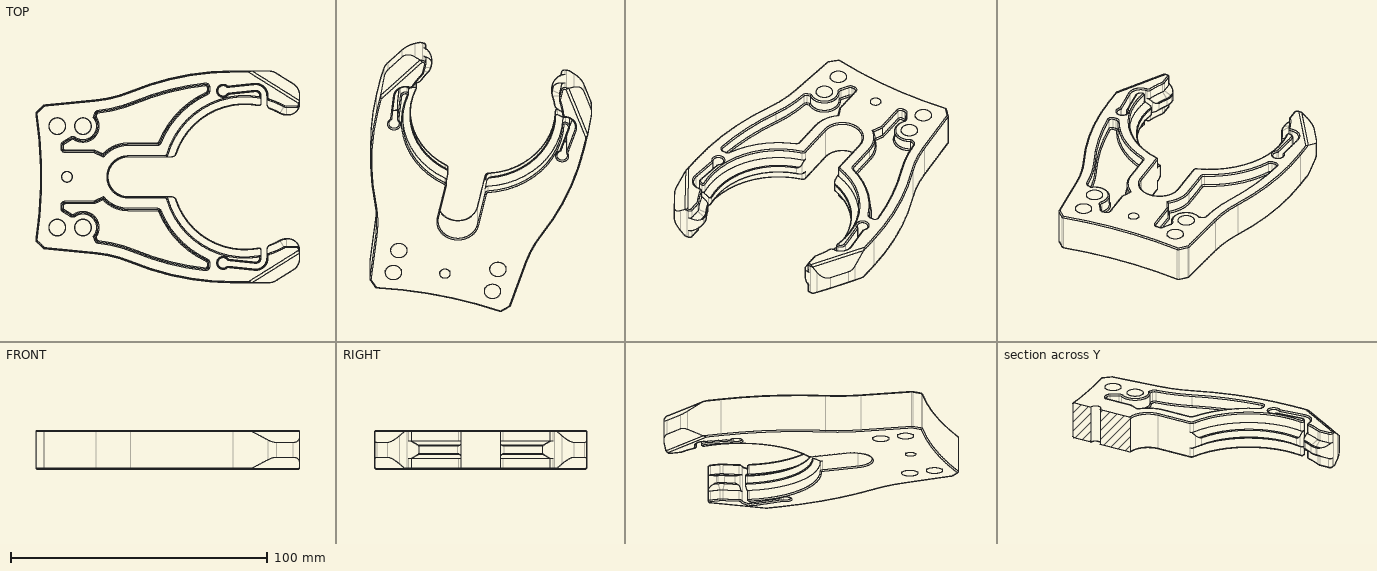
import cadquery as cq
import math

LENGTH = 103.12
HALF_WIDTH = 41.41
THICKNESS = 15.3
EDGE_CHAMFER = 0.5
HALF_THICKNESS = THICKNESS / 2

REAR_HALF_WIDTH = 25.0
REAR_CORNER_X = -0.05
REAR_MIDDLE_X = 1.85
CORNER_CUT_X = 3.2
CORNER_CUT_Y = 3.1
REAR_CORNER_RADIUS = 0.8

FLANK_SLOPE = 5.4
HOLLOW_RADIUS = 46.6
BULGE_RADIUS = 105.0
BULGE_SLOPE = 22.5
WIDEST_X = 77.1

TIP_SLOPE = 32.0
TIP_SHOULDER_X = 90.8
TIP_SHOULDER_RADIUS = 6.0
TIP_FRONT_RADIUS = 5.4
FINGER_END_RADIUS = 10.4 / 2
FRONT_CORNER_RADIUS = 4.7

JAW_X = 81.7
JAW_RADIUS = 28.3
LIP_DEPTH = 3.0
LIP_HEIGHT = 1.7
RECESS_HEIGHT = 3.4
LIP_EDGE_CHAMFER = 0.25
ARM_END_CORNER_RADIUS = 0.8
SLOT_RECESS_CORNER_RADIUS = 1.2
FINGER_LIP_CORNER_RADIUS = 2.3
FINGER_RECESS_CORNER_RADIUS = 1.2

SLOT_RADIUS = 7.75
SLOT_X = 36.0
SLOT_CORNER_RADIUS = 2.0

KEYHOLE_DIAMETER = 4.1
KEYHOLE_X = 73.2
KEYHOLE_Y = 33.6
SLIT_BEND_X = 85.9
SLIT_BEND_Y = 31.7
SLIT_INNER_RADIUS = 2.1
SLIT_OUTER_RADIUS = 4.34
SLIT_SLOPE = 6.0
KEYHOLE_BLEND_RADIUS = 0.8

BEVEL_ANGLE = 45.0
BEVEL_EDGE_HEIGHT = 2.9
BEVEL_FACET = 0.65

CENTRE_HOLE_DIAMETER = 4.1
CENTRE_HOLE_X = 12.2
BOLT_HOLE_DIAMETER = 6.4
BOLT_HOLE_X = (8.4, 18.45)
BOLT_HOLE_Y = 19.8

POCKET_DEPTH = 5.0
POCKET_CHAMFER = 0.5
POCKET_CORNER_RADIUS = 1.2
FLANK_WALL = 4.7
JAW_WALL = 4.5
SLOT_WALL = 5.0
BOSS_RADIUS = 5.8
BOSS_START = 228
BOSS_END = 398
NOTCH_ANGLE = 139
POCKET_STEP_X = 22.7
POCKET_REAR_X = 10.3
POCKET_REAR_LOW_Y = 10.0
POCKET_REAR_HIGH_Y = 12.9
POCKET_HEEL_X = 23.7
POCKET_TOE_X = 67.5


def polar(centre, radius, angle):
    """Point at an angle (degrees from +X) on a circle."""
    turn = math.radians(angle)
    return (centre[0] + radius * math.cos(turn), centre[1] + radius * math.sin(turn))


def direction_to(start, end):
    """Angle in degrees from one point to another."""
    return math.degrees(math.atan2(end[1] - start[1], end[0] - start[0]))


def arc(path, centre, radius, start, end):
    """Add an arc between two angles; the path must already be at the start of it."""
    return path.threePointArc(polar(centre, radius, (start + end) / 2), polar(centre, radius, end))


def mirrored(shape):
    """The shape joined with its mirror image across the XZ plane."""
    return shape.union(shape.mirror("XZ"))


def round_edges(shape, places, radius):
    """Fillet the upright edge nearest to each place in plan."""
    for place in places:
        nearest = cq.selectors.NearestToPointSelector((*place, 0))
        shape = shape.edges("|Z").edges(nearest).fillet(radius)
    return shape


JAW = (JAW_X, 0)
BULGE = (WIDEST_X, HALF_WIDTH - BULGE_RADIUS)
HOLLOW = polar(BULGE, BULGE_RADIUS + HOLLOW_RADIUS, 90 + BULGE_SLOPE)
ARM_END_X = SLIT_BEND_X + SLIT_INNER_RADIUS
FINGER_WALL_X = SLIT_BEND_X + SLIT_OUTER_RADIUS
FINGER_END_X = LENGTH - FINGER_END_RADIUS
FINGER_END_Y = math.sqrt((JAW_RADIUS + FINGER_END_RADIUS) ** 2 - (FINGER_END_X - JAW_X) ** 2)
FINGER_END = (FINGER_END_X, FINGER_END_Y)
FINGER_END_ANGLE = direction_to(FINGER_END, JAW)
SHOULDER = (TIP_SHOULDER_X, HALF_WIDTH - TIP_SHOULDER_RADIUS)
TIP_LINE_START = polar(SHOULDER, TIP_SHOULDER_RADIUS, 90 - TIP_SLOPE)
TIP_FRONT_X = LENGTH - TIP_FRONT_RADIUS
TIP_LINE_END_X = TIP_FRONT_X + TIP_FRONT_RADIUS * math.sin(math.radians(TIP_SLOPE))
TIP_LINE_DROP = (TIP_LINE_END_X - TIP_LINE_START[0]) * math.tan(math.radians(TIP_SLOPE))
TIP_LINE_END = (TIP_LINE_END_X, TIP_LINE_START[1] - TIP_LINE_DROP)
TIP_FRONT = polar(TIP_LINE_END, -TIP_FRONT_RADIUS, 90 - TIP_SLOPE)


def make_half_plate():
    """Outline of the plate on the +Y side, with the finger and the jaw at lip size."""
    rear_corner = (REAR_CORNER_X, REAR_HALF_WIDTH)
    flank_corner = (CORNER_CUT_X, REAR_HALF_WIDTH + CORNER_CUT_Y)
    rear_hollow = REAR_MIDDLE_X - REAR_CORNER_X
    front_corner_y = FINGER_END_Y - FINGER_END_RADIUS + FRONT_CORNER_RADIUS
    front_corner = (LENGTH - FRONT_CORNER_RADIUS, front_corner_y)
    slot_corner_y = SLOT_RADIUS + SLOT_CORNER_RADIUS
    slot_corner_reach = JAW_RADIUS + SLOT_CORNER_RADIUS
    slot_corner = (JAW_X - math.sqrt(slot_corner_reach**2 - slot_corner_y**2), slot_corner_y)
    slot_corner_angle = direction_to(slot_corner, JAW)
    jaw_start = direction_to(JAW, FINGER_END)
    jaw_end = direction_to(JAW, slot_corner)
    rear_radius = (REAR_HALF_WIDTH**2 + rear_hollow**2) / (2 * rear_hollow)
    rear_centre = (REAR_MIDDLE_X - rear_radius, 0)
    rear_angle = direction_to(rear_centre, rear_corner)

    path = cq.Workplane("XY").workplane(offset=-HALF_THICKNESS).moveTo(REAR_MIDDLE_X, 0)
    path = arc(path, rear_centre, rear_radius, 0, rear_angle).lineTo(*flank_corner)
    path = path.lineTo(*polar(HOLLOW, HOLLOW_RADIUS, FLANK_SLOPE - 90))
    path = arc(path, HOLLOW, HOLLOW_RADIUS, FLANK_SLOPE - 90, BULGE_SLOPE - 90)
    path = arc(path, BULGE, BULGE_RADIUS, 90 + BULGE_SLOPE, 90).lineTo(TIP_SHOULDER_X, HALF_WIDTH)
    path = arc(path, SHOULDER, TIP_SHOULDER_RADIUS, 90, 90 - TIP_SLOPE).lineTo(*TIP_LINE_END)
    path = arc(path, TIP_FRONT, TIP_FRONT_RADIUS, 90 - TIP_SLOPE, 0).lineTo(LENGTH, front_corner[1])
    path = arc(path, front_corner, FRONT_CORNER_RADIUS, 0, -90)
    path = path.lineTo(FINGER_END_X, FINGER_END_Y - FINGER_END_RADIUS)
    path = arc(path, FINGER_END, FINGER_END_RADIUS, -90, FINGER_END_ANGLE)
    path = arc(path, JAW, JAW_RADIUS, jaw_start, jaw_end)
    path = arc(path, slot_corner, SLOT_CORNER_RADIUS, slot_corner_angle, -90)
    path = path.lineTo(SLOT_X, SLOT_RADIUS)
    path = arc(path, (SLOT_X, 0), SLOT_RADIUS, 90, 180)
    plate = path.close().extrude(THICKNESS)
    return round_edges(plate, [rear_corner, flank_corner], REAR_CORNER_RADIUS)


def make_slit():
    """Keyhole and the bent slit that leads from it into the jaw."""
    bend = (SLIT_BEND_X, SLIT_BEND_Y)
    lean = 90 + SLIT_SLOPE
    inner = polar(bend, SLIT_INNER_RADIUS, lean)
    outer = polar(bend, SLIT_OUTER_RADIUS, lean)
    run = (inner[0] - KEYHOLE_X) / math.cos(math.radians(SLIT_SLOPE))
    path = cq.Workplane("XY").workplane(offset=-HALF_THICKNESS)
    path = path.moveTo(*polar(outer, -run, SLIT_SLOPE)).lineTo(*outer)
    path = arc(path, bend, SLIT_OUTER_RADIUS, lean, 0)
    path = path.lineTo(FINGER_WALL_X, 0).lineTo(ARM_END_X, 0).lineTo(ARM_END_X, SLIT_BEND_Y)
    path = arc(path, bend, SLIT_INNER_RADIUS, 0, lean).lineTo(*polar(inner, -run, SLIT_SLOPE))
    keyhole = cq.Workplane("XY").workplane(offset=-HALF_THICKNESS)
    keyhole = keyhole.center(KEYHOLE_X, KEYHOLE_Y).circle(KEYHOLE_DIAMETER / 2).extrude(THICKNESS)
    slit = path.close().extrude(THICKNESS).union(keyhole)
    mouth_x = KEYHOLE_X + KEYHOLE_DIAMETER / 2
    return round_edges(slit, [(mouth_x, inner[1]), (mouth_x, outer[1])], KEYHOLE_BLEND_RADIUS)


def jaw_wire(grow, height):
    """Half of the jaw opening at one height, widened from the lip by `grow`."""
    radius = JAW_RADIUS + grow
    blend = FINGER_END_RADIUS - grow
    front = LENGTH + LIP_DEPTH
    path = cq.Workplane("XY").workplane(offset=height).moveTo(JAW_X - radius, 0)
    path = arc(path, JAW, radius, 180, direction_to(JAW, FINGER_END))
    path = arc(path, FINGER_END, blend, FINGER_END_ANGLE + 360, 270)
    path = path.lineTo(front, FINGER_END_Y - blend).lineTo(front, 0).close()
    return path.val()


def make_ledge_space():
    """Space above the lip: past its chamfered edge, then along the sloped ledge out to the recess."""
    slope = (RECESS_HEIGHT - LIP_HEIGHT) / LIP_DEPTH
    levels = [
        jaw_wire(0, LIP_HEIGHT - LIP_EDGE_CHAMFER),
        jaw_wire(LIP_EDGE_CHAMFER, LIP_HEIGHT + slope * LIP_EDGE_CHAMFER),
        jaw_wire(LIP_DEPTH, RECESS_HEIGHT),
    ]
    return cq.Workplane(cq.Solid.makeLoft(levels, True))


def jaw_corner(radius, x):
    """Place in plan where the jaw circle of some radius crosses an upright wall at x."""
    return (x, math.sqrt(radius**2 - (x - JAW_X) ** 2))


def make_lip(blank):
    """Mid-height layer of the plate, reaching into the jaw with a ledge above and below."""
    lip = round_edges(blank, [jaw_corner(JAW_RADIUS, ARM_END_X)], ARM_END_CORNER_RADIUS)
    lip = round_edges(lip, [jaw_corner(JAW_RADIUS, FINGER_WALL_X)], FINGER_LIP_CORNER_RADIUS)
    layer = cq.Workplane("XY").box(LENGTH + JAW_X, 2 * LENGTH, 2 * RECESS_HEIGHT)
    lip = lip.intersect(layer.translate((LENGTH / 2, 0, 0)))
    ledge_space = make_ledge_space()
    return lip.cut(ledge_space).cut(ledge_space.mirror("XY"))


def make_half_body():
    """Half of the plate with its slit, the recessed jaw and the lip inside it."""
    blank = make_half_plate().cut(make_slit())
    recess = cq.Workplane(jaw_wire(LIP_DEPTH, -HALF_THICKNESS)).toPending().extrude(THICKNESS)
    recess_radius = JAW_RADIUS + LIP_DEPTH
    slot_corner = (JAW_X - math.sqrt(recess_radius**2 - SLOT_RADIUS**2), SLOT_RADIUS)
    arm_corner = jaw_corner(recess_radius, ARM_END_X)
    finger_corner = jaw_corner(recess_radius, FINGER_WALL_X)
    front_corner = (LENGTH, FINGER_END_Y - FINGER_END_RADIUS + LIP_DEPTH)
    recessed = blank.cut(recess)
    recessed = round_edges(recessed, [slot_corner], SLOT_RECESS_CORNER_RADIUS)
    recessed = round_edges(recessed, [arm_corner], ARM_END_CORNER_RADIUS)
    recessed = round_edges(recessed, [finger_corner, front_corner], FINGER_RECESS_CORNER_RADIUS)
    return recessed.union(make_lip(blank))


def make_bevel():
    """Wedge that bevels the lower face of the finger, with a flatter facet along its inner edge."""
    rise = HALF_THICKNESS - BEVEL_EDGE_HEIGHT
    run = rise / math.tan(math.radians(BEVEL_ANGLE))
    facet_inset = BEVEL_FACET * math.cos(math.radians(BEVEL_ANGLE))
    facet_drop = BEVEL_FACET * math.sin(math.radians(BEVEL_ANGLE))
    across = polar((0, 0), 1, 90 - TIP_SLOPE)
    along = polar((0, 0), 1, -TIP_SLOPE)
    plane = cq.Plane(origin=(*TIP_LINE_START, 0), xDir=(*across, 0), normal=(*along, 0))
    profile = [
        (-run - BEVEL_FACET, -HALF_THICKNESS),
        (-run + facet_inset, -HALF_THICKNESS + facet_drop),
        (0, -BEVEL_EDGE_HEIGHT),
        (rise, -BEVEL_EDGE_HEIGHT),
        (rise, -THICKNESS),
        (-run - BEVEL_FACET, -THICKNESS),
    ]
    return cq.Workplane(plane).polyline(profile).close().extrude(LENGTH, both=True)


def make_pocket():
    """Blind pocket between the walls of the flank, the jaw, the slot and the bolt boss."""
    boss = (BOLT_HOLE_X[1], BOLT_HOLE_Y)
    bulge_radius = BULGE_RADIUS - FLANK_WALL
    hollow_radius = HOLLOW_RADIUS + FLANK_WALL
    jaw_radius = JAW_RADIUS + LIP_DEPTH + JAW_WALL
    slot_radius = SLOT_RADIUS + SLOT_WALL
    heel_angle = -math.degrees(math.acos((POCKET_HEEL_X - HOLLOW[0]) / hollow_radius))
    toe_angle = math.degrees(math.acos((POCKET_TOE_X - WIDEST_X) / bulge_radius))
    jaw_high_angle = math.degrees(math.acos((POCKET_TOE_X - JAW_X) / jaw_radius))
    jaw_low_angle = 180 - math.degrees(math.asin(slot_radius / jaw_radius))

    path = cq.Workplane("XY").workplane(offset=HALF_THICKNESS - POCKET_DEPTH)
    path = path.moveTo(*polar(JAW, jaw_radius, jaw_low_angle)).lineTo(SLOT_X, slot_radius)
    path = arc(path, (SLOT_X, 0), slot_radius, 90, NOTCH_ANGLE)
    path = path.lineTo(POCKET_STEP_X, POCKET_REAR_LOW_Y).lineTo(POCKET_REAR_X, POCKET_REAR_LOW_Y)
    path = path.lineTo(POCKET_REAR_X, POCKET_REAR_HIGH_Y).lineTo(*polar(boss, BOSS_RADIUS, BOSS_START))
    path = arc(path, boss, BOSS_RADIUS, BOSS_START, BOSS_END)
    path = path.lineTo(*polar(HOLLOW, hollow_radius, heel_angle))
    path = arc(path, HOLLOW, hollow_radius, heel_angle, BULGE_SLOPE - 90)
    path = arc(path, BULGE, bulge_radius, 90 + BULGE_SLOPE, toe_angle)
    path = path.lineTo(*polar(JAW, jaw_radius, jaw_high_angle))
    path = arc(path, JAW, jaw_radius, jaw_high_angle, jaw_low_angle)
    pocket = path.close().extrude(POCKET_DEPTH)
    round_corners = [
        (POCKET_REAR_X, POCKET_REAR_LOW_Y),
        (POCKET_REAR_X, POCKET_REAR_HIGH_Y),
        polar(boss, BOSS_RADIUS, BOSS_START),
        polar(HOLLOW, hollow_radius, heel_angle),
        polar(BULGE, bulge_radius, toe_angle),
        polar(JAW, jaw_radius, jaw_high_angle),
        polar(JAW, jaw_radius, jaw_low_angle),
    ]
    pocket = round_edges(pocket, round_corners, POCKET_CORNER_RADIUS)
    return pocket.faces("<Z").chamfer(POCKET_CHAMFER)


def make_holes():
    """Bolt holes in both corners and the small centre hole."""
    holes = cq.Workplane("XY").workplane(offset=-HALF_THICKNESS)
    places = [(x, side * BOLT_HOLE_Y) for x in BOLT_HOLE_X for side in (1, -1)]
    bolts = holes.pushPoints(places).circle(BOLT_HOLE_DIAMETER / 2).extrude(THICKNESS)
    centre = holes.center(CENTRE_HOLE_X, 0).circle(CENTRE_HOLE_DIAMETER / 2).extrude(THICKNESS)
    return bolts.union(centre)


def bevel_fingers(plate):
    """Bevel both fingers on both faces."""
    bevel = make_bevel()
    bevels = bevel.union(bevel.mirror("XY"))
    return plate.cut(bevels).cut(bevels.mirror("XZ"))


def cut_pockets(plate):
    """Cut both pockets and chamfer their rims, the only inner outlines of the upper face."""
    pocket = make_pocket()
    plate = plate.cut(pocket).cut(pocket.mirror("XZ"))
    rims = plate.faces(">Z").val().innerWires()
    rim_edges = [edge for rim in rims for edge in rim.Edges()]
    return plate.newObject(rim_edges).chamfer(POCKET_CHAMFER)


body = mirrored(make_half_body())
body = body.faces(">Z or <Z").chamfer(EDGE_CHAMFER)
body = bevel_fingers(body)
body = cut_pockets(body)
result = body.cut(make_holes())